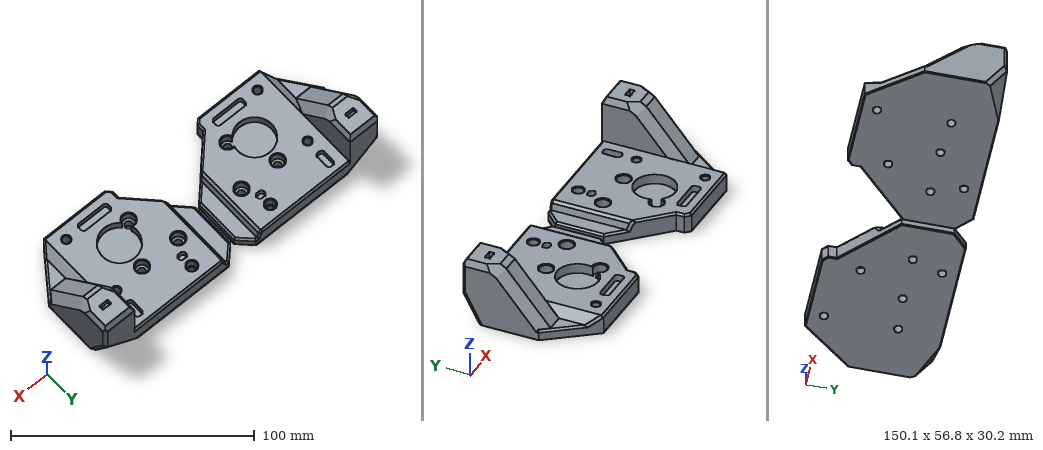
import cadquery as cq
import math

TOTAL_WIDTH = 150.1
DEPTH = 56.8
HEIGHT = 30.2
BRACKET_WIDTH = 74.0
PLATE_TOP = 9.0
STEP_TOP = 5.0

OUTER_DIAGONAL_Y = 21.8
INNER_DIAGONAL_Y = 28.4
NOTCH_X = 52.0
NOTCH_Y = 5.9
NOTCH_CHAMFER = 2.3
BACK_CORNER_CHAMFER = 6.3

STEP_FOOT_X = 66.5
STEP_SHOULDER_X = 65.6
STEP_SHOULDER_Z = 7.8
STEP_RIM_X = 64.4

PLATE_TOP_CHAMFER = 0.9
BASE_CHAMFER = 0.5

BURIED_SHELF_Z = 1.5

WALL_WIDTH = 16.2
SLOPE_FOOT_Y = 18.3
SLOPE_HEAD_Y = 38.5
SLOPE_HEAD_Z = 28.5
WALL_TOP_FRONT_Y = 41.1
SLOPE_SIDE_CHAMFER = 4.0
TOP_CHAMFER_ACROSS = 1.5
TOP_CHAMFER_DOWN = 3.0
CORNER_CHAMFER = 1.5

CORNER_CUT_X = 18.3
CORNER_CUT_Y = 7.8
CORNER_CUT_Z = 14.3

SLOT_CENTER = (8.0, 47.9)
SLOT_LENGTH = 4.5
SLOT_WIDTH = 2.3
SLOT_DEPTH = 3.0
SLOT_FLOOR_RADIUS = 4.5

HOLE_DIAMETER = 3.5
RECESS_DIAMETER = 6.0
RECESS_DEPTH = 4.5
HOLE_RIM_CHAMFER = 0.5
PLAIN_HOLES = [(22.8, 37.8), (22.8, 6.6)]
RECESSED_HOLES = [(38.0, 36.5), (57.8, 36.5), (48.0, 16.7)]
SMALL_RECESS_HOLE = (53.6, 49.7)
SMALL_RECESS_DIAMETER = 4.7
ROUND_POCKET_CENTER = (38.1, 22.2)
ROUND_POCKET_DIAMETER = 18.6
ROUND_POCKET_DEPTH = 4.5
OBLONG_DEPTH = 3.0
OBLONG_CORNER_RADIUS = 1.4
OBLONGS = [
    ((22.8, 48.8), (3.8, 8.4)),
    ((38.3, 6.6), (16.0, 4.2)),
    ((53.6, 43.7), (4.0, 3.2)),
]

OUTLINE = [
    (0, OUTER_DIAGONAL_Y),
    (WALL_WIDTH, 0),
    (NOTCH_X - NOTCH_CHAMFER, 0),
    (NOTCH_X, NOTCH_CHAMFER),
    (NOTCH_X, NOTCH_Y),
    (BRACKET_WIDTH, INNER_DIAGONAL_Y),
    (BRACKET_WIDTH, DEPTH - BACK_CORNER_CHAMFER),
    (BRACKET_WIDTH - BACK_CORNER_CHAMFER, DEPTH),
    (0, DEPTH),
]


def upright_prism(points, height):
    """Prism standing on the base plane over an XY polygon."""
    return cq.Workplane("XY").polyline(points).close().extrude(height)


def lengthwise_prism(points):
    """Prism running over the full depth, from an XZ section."""
    return cq.Workplane("XZ").polyline(points).close().extrude(-DEPTH)


def crosswise_prism(points):
    """Prism running over the wall width, from a YZ profile."""
    return cq.Workplane("YZ").polyline(points).close().extrude(WALL_WIDTH)


def low_slab():
    slab = upright_prism(OUTLINE, STEP_TOP)
    return slab.faces(">Z").chamfer(PLATE_TOP_CHAMFER)


def raised_middle():
    """Middle of the plate: a 45 degree ramp on the outer side and a bevelled step on the inner side."""
    section = [
        (0, 0),
        (0, BURIED_SHELF_Z),
        (WALL_WIDTH - PLATE_TOP + BURIED_SHELF_Z, BURIED_SHELF_Z),
        (WALL_WIDTH, PLATE_TOP),
        (STEP_RIM_X, PLATE_TOP),
        (STEP_SHOULDER_X, STEP_SHOULDER_Z),
        (STEP_FOOT_X, STEP_TOP),
        (BRACKET_WIDTH, STEP_TOP),
        (BRACKET_WIDTH, 0),
    ]
    slab = upright_prism(OUTLINE, PLATE_TOP).intersect(lengthwise_prism(section))
    side_edges = slab.faces("#Z").edges("not |Z").vals()
    rim = [edge for edge in side_edges if edge.Center().z > 2 * BURIED_SHELF_Z]
    return slab.newObject(rim).chamfer(PLATE_TOP_CHAMFER)


def wall():
    """Upright wall with a sloping front, broad chamfers along the slope and a bevelled top."""
    slope_run = (SLOPE_HEAD_Y - SLOPE_FOOT_Y) / (SLOPE_HEAD_Z - STEP_TOP)
    profile = [
        (DEPTH, 0),
        (DEPTH, HEIGHT - TOP_CHAMFER_DOWN),
        (DEPTH - TOP_CHAMFER_ACROSS, HEIGHT),
        (WALL_TOP_FRONT_Y, HEIGHT),
        (SLOPE_HEAD_Y, SLOPE_HEAD_Z),
        (SLOPE_FOOT_Y - slope_run * STEP_TOP, 0),
    ]
    section = [
        (0, 0),
        (0, HEIGHT - TOP_CHAMFER_DOWN),
        (TOP_CHAMFER_ACROSS, HEIGHT),
        (WALL_WIDTH - TOP_CHAMFER_ACROSS, HEIGHT),
        (WALL_WIDTH, HEIGHT - TOP_CHAMFER_DOWN),
        (WALL_WIDTH, 0),
    ]
    body = crosswise_prism(profile)
    side_edges = body.faces("|X").edges("not(|Y or |Z)").vals()
    front_edges = [edge for edge in side_edges if edge.Center().y < WALL_TOP_FRONT_Y]
    body = body.newObject(front_edges).chamfer(SLOPE_SIDE_CHAMFER)
    return body.intersect(lengthwise_prism(section)).intersect(upright_prism(OUTLINE, HEIGHT))


def corner_cut():
    """Tetrahedron with legs along X, Y and Z from the lower back outer corner."""
    corner = (0, DEPTH, 0)
    tips = [(CORNER_CUT_X, DEPTH, 0), (0, DEPTH - CORNER_CUT_Y, 0), (0, DEPTH, CORNER_CUT_Z)]
    triangles = [tips] + [[corner, tips[i], tips[i - 1]] for i in range(len(tips))]
    faces = [
        cq.Face.makeFromWires(cq.Wire.makePolygon([cq.Vector(*point) for point in triangle], close=True))
        for triangle in triangles
    ]
    return cq.Workplane(cq.Solid.makeSolid(cq.Shell.makeShell(faces)))


def bracket_blank():
    """Plate and wall in one, with the base chamfer and the cut back corner, before any holes."""
    body = low_slab().union(raised_middle()).union(wall())
    body = body.faces("<Z").chamfer(BASE_CHAMFER)
    body = body.cut(corner_cut())
    side_edges = body.faces("<X").edges().vals()
    back_edges = [
        edge
        for edge in side_edges
        if edge.Center().y > DEPTH - CORNER_CUT_Y and BASE_CHAMFER < edge.Center().z < HEIGHT - TOP_CHAMFER_DOWN
    ]
    return body.newObject(back_edges).chamfer(CORNER_CHAMFER)


def top_slot():
    """Slot in the wall top with a floor hollowed to an arc across its length."""
    x, y = SLOT_CENTER
    rise = SLOT_FLOOR_RADIUS - math.sqrt(SLOT_FLOOR_RADIUS**2 - (SLOT_LENGTH / 2) ** 2)
    floor_z = HEIGHT - SLOT_DEPTH
    return (
        cq.Workplane("XZ", origin=(x, y + SLOT_WIDTH / 2, 0))
        .moveTo(-SLOT_LENGTH / 2, HEIGHT)
        .lineTo(-SLOT_LENGTH / 2, floor_z + rise)
        .threePointArc((0, floor_z), (SLOT_LENGTH / 2, floor_z + rise))
        .lineTo(SLOT_LENGTH / 2, HEIGHT)
        .close()
        .extrude(SLOT_WIDTH)
    )


def pocket(points, diameter, depth):
    """Round pockets sunk from the plate top."""
    return (
        cq.Workplane("XY", origin=(0, 0, PLATE_TOP)).pushPoints(points).circle(diameter / 2).extrude(-depth)
    )


def rim_cone(points, diameter):
    """Chamfers round the mouths of holes."""
    return (
        cq.Workplane("XY", origin=(0, 0, PLATE_TOP))
        .pushPoints(points)
        .circle(diameter / 2 + HOLE_RIM_CHAMFER)
        .extrude(-HOLE_RIM_CHAMFER, taper=45)
    )


def oblong_pocket(center, size):
    """Rectangular pocket with rounded corners, sunk from the plate top."""
    shape = cq.Workplane("XY", origin=(*center, PLATE_TOP)).rect(*size).extrude(-OBLONG_DEPTH)
    return shape.edges("|Z").fillet(OBLONG_CORNER_RADIUS)


def bracket():
    body = bracket_blank().cut(top_slot())
    all_holes = PLAIN_HOLES + RECESSED_HOLES + [SMALL_RECESS_HOLE]
    body = body.cut(pocket(all_holes, HOLE_DIAMETER, PLATE_TOP))
    body = body.cut(rim_cone(PLAIN_HOLES, HOLE_DIAMETER))
    body = body.cut(pocket(RECESSED_HOLES, RECESS_DIAMETER, RECESS_DEPTH))
    body = body.cut(rim_cone(RECESSED_HOLES, RECESS_DIAMETER))
    body = body.cut(pocket([SMALL_RECESS_HOLE], SMALL_RECESS_DIAMETER, RECESS_DEPTH))
    body = body.cut(rim_cone([SMALL_RECESS_HOLE], SMALL_RECESS_DIAMETER))
    body = body.cut(pocket([ROUND_POCKET_CENTER], ROUND_POCKET_DIAMETER, ROUND_POCKET_DEPTH))
    for center, size in OBLONGS:
        body = body.cut(oblong_pocket(center, size))
    return body


left_bracket = bracket().translate((-TOTAL_WIDTH / 2, 0, 0))
right_bracket = left_bracket.mirror("YZ")
result = cq.Compound.makeCompound([left_bracket.val(), right_bracket.val()])